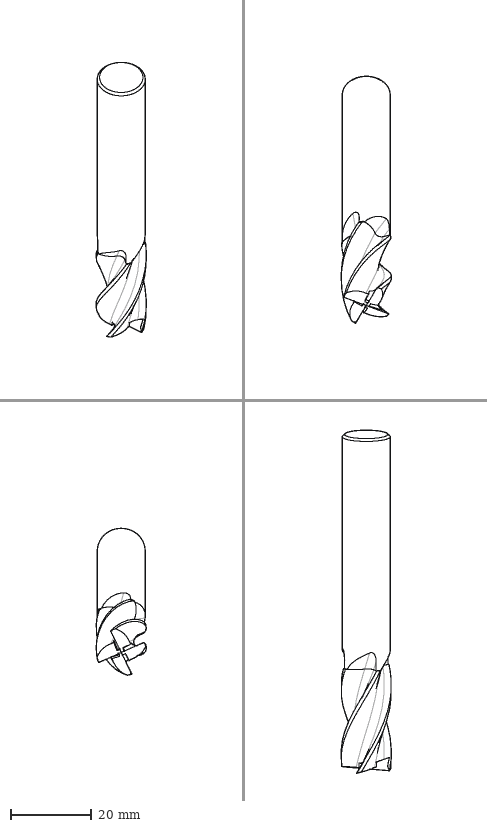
import cadquery as cq
import math

total_length = 85.0
shank_diameter = 12.0
cutting_diameter = 12.5
cutting_length = 26.0
top_chamfer = 0.6

flute_count = 4
flute_pitch_angle = 360.0 / flute_count
helix_angle = 30.0
flute_lead = math.pi * cutting_diameter / math.tan(math.radians(helix_angle))
total_twist = 360.0 * cutting_length / flute_lead

land_angle = 9.5
rake_depth = 1.75
gullet_radius = 1.7
runout_angle = 32.5

end_relief_angle = 16.0
gash_floor_angle = 21.0
gash_center_height = 0.9
gash_outer_radius = 5.55
gash_corner_height = 1.0
gash_width = 0.8
gash_back_lean = 0.1

cutting_radius = cutting_diameter / 2
shank_radius = shank_diameter / 2
clear_radius = 2 * cutting_radius
axis_start = cq.Vector(0, 0, 0)
axis_end = cq.Vector(0, 0, 1)


def polar(radius, angle):
    return (radius * math.cos(math.radians(angle)), radius * math.sin(math.radians(angle)))


def flute_outline(z):
    """Open space of the flute ahead of the cutting edge on +X, reaching outside the tool."""
    heel_angle = land_angle - flute_pitch_angle
    gullet_start = (cutting_radius - rake_depth, 0)
    gullet_end = (gullet_start[0] - gullet_radius, -gullet_radius)
    heel = polar(cutting_radius, heel_angle)
    outer_corner = (clear_radius, -clear_radius)
    return (
        cq.Workplane("XY", origin=(0, 0, z))
        .moveTo(clear_radius, 0)
        .lineTo(*gullet_start)
        .tangentArcPoint(gullet_end, relative=False)
        .tangentArcPoint(heel, relative=False)
        .lineTo(*polar(clear_radius, heel_angle))
        .lineTo(*outer_corner)
        .close()
        .val()
    )


def around(solid, start_angle=0.0):
    """Copies of a cutting tool, one for each flute."""
    return [
        solid.rotate(axis_start, axis_end, start_angle + i * flute_pitch_angle)
        for i in range(flute_count)
    ]


def fluted_blank():
    """Twisted bar with all its flutes, cutting edges on the X and Y axes at the tip."""
    disc = cq.Face.makeFromWires(cq.Wire.makeCircle(cutting_radius, axis_start, axis_end))
    section = disc.cut(*around(cq.Face.makeFromWires(flute_outline(0)))).Faces()[0]
    return cq.Solid.extrudeLinearWithRotation(
        section.outerWire(), [], axis_start, axis_end * cutting_length, total_twist
    )


def end_relief():
    """Wedge under one end tooth, from its cutting edge on +X back to the heel."""
    rise = clear_radius * math.tan(math.radians(end_relief_angle))
    return (
        cq.Workplane("YZ")
        .polyline([(0, 0), (clear_radius, 0), (clear_radius, rise)])
        .close()
        .extrude(clear_radius)
        .val()
    )


def end_gash():
    """Notch ahead of one end tooth, clear of the next tooth, its face leaning at the helix angle."""
    height = clear_radius
    face_lean = height * math.tan(math.radians(helix_angle))
    back_lean = height * gash_back_lean
    walls = (
        cq.Workplane("YZ")
        .polyline([(-gash_width, 0), (0, 0), (face_lean, height), (back_lean - gash_width, height)])
        .close()
        .extrude(clear_radius)
    )
    floor_slope = math.tan(math.radians(gash_floor_angle))
    profile = (
        cq.Workplane("XZ")
        .polyline([
            (gash_width, 0),
            (cutting_radius, 0),
            (gash_outer_radius, gash_corner_height),
            (gash_outer_radius, gash_center_height + gash_outer_radius * floor_slope),
            (gash_width, gash_center_height + gash_width * floor_slope),
        ])
        .close()
        .extrude(clear_radius, both=True)
    )
    return walls.intersect(profile).val()


def make_cutter():
    return cq.Workplane(fluted_blank().cut(*around(end_relief()), *around(end_gash())))


def flute_runout():
    """Straight continuation of a flute that climbs out of the shank along its rake face."""
    outward = shank_radius
    climb = outward / math.tan(math.radians(runout_angle))
    return cq.Solid.extrudeLinear(flute_outline(cutting_length), [], cq.Vector(outward, 0, climb))


def make_shank():
    blank = (
        cq.Workplane("XY", origin=(0, 0, cutting_length))
        .circle(shank_radius)
        .extrude(total_length - cutting_length)
        .faces(">Z")
        .chamfer(top_chamfer)
        .val()
    )
    return cq.Workplane(blank.cut(*around(flute_runout(), total_twist)))


cutter = make_cutter()
shank = make_shank()

result = cq.Compound.makeCompound([*cutter.solids().vals(), *shank.solids().vals()])